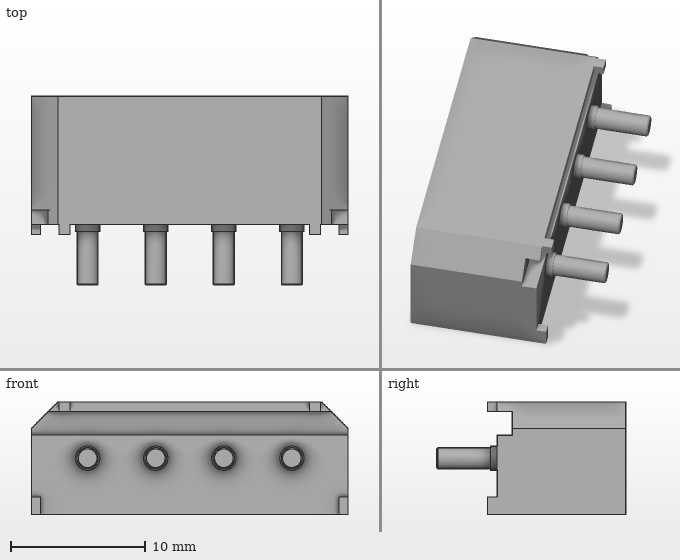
import cadquery as cq

width = 23.6
height = 8.4
depth = 9.58
top_chamfer = 1.98

lip_thickness = 0.73
slot_height = 1.75
slot_depth = 1.1

standoff = 0.73
foot_width = 0.68
foot_height = 1.32
lip_tab_width = 0.83
lip_tab_inset = 2.05

overall_depth = 14.1
pin_count = 4
pin_pitch = 5.07
pin_diameter = 1.58
pin_tip_chamfer = 0.1
collar_diameter = 1.82
collar_length = 0.5
pin_z = height / 2

front_y = -depth
pin_length = overall_depth - depth


def make_housing():
    """Block with its two end edges at the top chamfered."""
    block = cq.Workplane("XY").box(width, depth, height, centered=(True, False, False))
    block = block.translate((0, front_y, 0))
    return block.faces(">Z").edges("|Y").chamfer(top_chamfer)


def make_slot():
    """Slot open to the front and to both ends."""
    slot_floor_z = height - lip_thickness - slot_height
    slot = cq.Workplane("XY").box(width, slot_depth, slot_height, centered=(True, False, False))
    return slot.translate((0, front_y, slot_floor_z))


def make_tab_pair(inset, tab_width, tab_height, base_z):
    """Mirrored pair of tabs standing off the front face, inset from the housing ends."""
    tab_x = width / 2 - inset - tab_width / 2
    return (
        cq.Workplane("XY", origin=(0, front_y - standoff / 2, base_z))
        .pushPoints([(-tab_x, 0), (tab_x, 0)])
        .rect(tab_width, standoff)
        .extrude(tab_height)
    )


def make_pin(x):
    """Pin pointing along -Y, with a collar at its root and a chamfered tip."""
    root = cq.Workplane("XZ", origin=(x, front_y, pin_z))
    pin = root.circle(pin_diameter / 2).extrude(pin_length)
    pin = pin.faces("<Y").chamfer(pin_tip_chamfer)
    collar = root.circle(collar_diameter / 2).extrude(collar_length)
    return pin.union(collar)


result = make_housing().cut(make_slot())
result = result.union(make_tab_pair(0, foot_width, foot_height, 0))
result = result.union(
    make_tab_pair(lip_tab_inset, lip_tab_width, lip_thickness, height - lip_thickness)
)
first_pin_x = -(pin_count - 1) * pin_pitch / 2
for index in range(pin_count):
    result = result.union(make_pin(first_pin_x + index * pin_pitch))